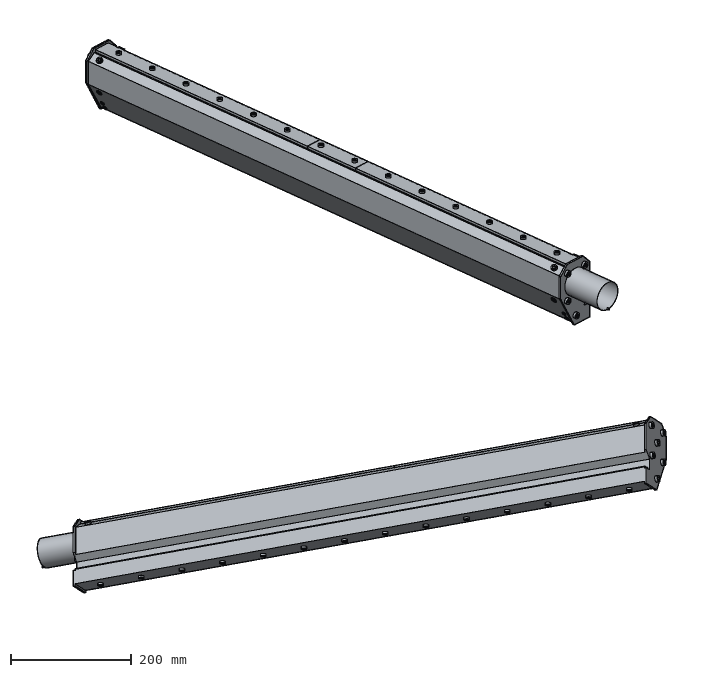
import cadquery as cq


total_length = 1155.0
end_head_height = 5.0
plate_thickness = 3.0
plates_length = 1074.0
plate_start = end_head_height
plate_end = plate_start + plates_length
beam_start = plate_start + plate_thickness
beam_end = plate_end - plate_thickness
beam_middle = (plate_start + plate_end) / 2

plate_half_width = 36.0
plate_height = 122.0
plate_top_half_width = 20.0
plate_shoulder_z = 105.0
plate_fold_z = 63.0
plate_base_front_y = -2.0
back_taper_z = 59.0
notch_wall_y = 23.0
notch_top_z = 46.0
plate_lip_z = 28.0

inset = 2.9
beam_half_width = plate_half_width - inset
beam_base_z = 3.0
beam_top_z = 114.0
beam_top_half_width = 18.0
beam_shoulder_z = 104.0
beam_fold_z = 60.0
beam_base_front_y = -1.7
beam_lip_z = 31.0
lip_chamfer = 2.0

lid_width = 31.0
lid_thickness = 5.0
lid_top_z = beam_top_z + lid_thickness
middle_lid_length = 109.0
lid_gap = 0.6

chamfer_head_height = 3.0
slope_head_height = 1.0
socket_ratio = 0.5
end_head_diameter = 11.0
row_head_diameter = 9.5
side_head_diameter = 10.5
small_head_diameter = 7.6
row_count = 14
row_pitch = 76.0
side_head_offset = 23.0
small_head_offset = 15.0
corner_head_y = 21.0
corner_head_z = 106.0
lower_head_z = 54.0
lower_back_head_y = 17.0
foot_head_z = 18.0
slope_head_z = 50.0
small_head_heights = (8.0, 20.0)

connector_diameter = 51.0
connector_z = 82.0
connector_end = 1151.0
key_pin_diameter = 3.0
key_pin_z = connector_z - connector_diameter / 2 + key_pin_diameter / 2

sink = 2.0


def prism(section, start, end):
    """Extrude a closed (Y, Z) section along X."""
    return cq.Workplane("YZ").workplane(offset=start).polyline(section).close().extrude(end - start)


def rod(diameter, y, z, start, end):
    """Cylinder along X."""
    return cq.Workplane("YZ").workplane(offset=start).center(y, z).circle(diameter / 2).extrude(end - start)


def screw_head(x, y, z, normal, diameter, height):
    """Round head standing on the surface point (x, y, z) along the outward normal."""
    direction = cq.Vector(*normal).normalized()
    base = cq.Vector(x, y, z) - direction * sink
    head = cq.Solid.makeCylinder(diameter / 2, height + sink, base, direction)
    socket_floor = base + direction * (sink + height / 2)
    socket = cq.Solid.makeCylinder(socket_ratio * diameter / 2, height, socket_floor, direction)
    return cq.Workplane(head).cut(cq.Workplane(socket))


def build_plate(start):
    section = [
        (plate_half_width, 0),
        (plate_half_width, plate_lip_z),
        (notch_wall_y, plate_lip_z),
        (notch_wall_y, notch_top_z),
        (plate_half_width, back_taper_z),
        (plate_half_width, plate_shoulder_z),
        (plate_top_half_width, plate_height),
        (-plate_top_half_width, plate_height),
        (-plate_half_width, plate_shoulder_z),
        (-plate_half_width, plate_fold_z),
        (plate_base_front_y, 0),
    ]
    return prism(section, start, start + plate_thickness)


def build_beam():
    section = [
        (plate_half_width, beam_base_z),
        (plate_half_width, beam_lip_z - lip_chamfer),
        (plate_half_width - lip_chamfer, beam_lip_z),
        (notch_wall_y, beam_lip_z),
        (notch_wall_y, notch_top_z),
        (beam_half_width, back_taper_z - inset),
        (beam_half_width, beam_shoulder_z),
        (beam_top_half_width, beam_top_z),
        (-beam_top_half_width, beam_top_z),
        (-beam_half_width, beam_shoulder_z),
        (-beam_half_width, beam_fold_z),
        (beam_base_front_y, beam_base_z),
    ]
    return prism(section, beam_start, beam_end)


def build_lid():
    half_width = lid_width / 2
    section = [
        (-half_width, beam_top_z - sink),
        (half_width, beam_top_z - sink),
        (half_width, lid_top_z),
        (-half_width, lid_top_z),
    ]
    lid = prism(section, beam_start, beam_end)
    for side in (-1, 1):
        seam_x = beam_middle + side * middle_lid_length / 2
        gap = cq.Workplane("XY").box(lid_gap, lid_width, lid_thickness, centered=(True, True, False))
        lid = lid.cut(gap.translate((seam_x, 0, beam_top_z)))
    return lid


def row_heads():
    """Rows of heads along the lid and along the base of the beam."""
    base_middle_y = (plate_half_width + beam_base_front_y) / 2
    heads = []
    for index in range(row_count):
        x = beam_middle + (index - (row_count - 1) / 2) * row_pitch
        heads.append(screw_head(x, 0, lid_top_z, (0, 0, 1), row_head_diameter, plate_height - lid_top_z))
        heads.append(screw_head(x, base_middle_y, beam_base_z, (0, 0, -1), row_head_diameter, beam_base_z))
    return heads


def side_heads():
    """Heads near both ends on the two top chamfers and on the front slope."""
    chamfer_y = (beam_top_half_width + beam_half_width) / 2
    chamfer_z = (beam_top_z + beam_shoulder_z) / 2
    chamfer_run = beam_half_width - beam_top_half_width
    chamfer_drop = beam_top_z - beam_shoulder_z

    slope_run = beam_base_front_y + beam_half_width
    slope_rise = beam_fold_z - beam_base_z
    slope_normal = (0, -slope_rise, -slope_run)

    def slope_y(z):
        return beam_base_front_y - (z - beam_base_z) * slope_run / slope_rise

    heads = []
    for x, inward in ((plate_start, 1), (plate_end, -1)):
        side_x = x + inward * side_head_offset
        small_x = x + inward * small_head_offset
        for side in (-1, 1):
            normal = (0, side * chamfer_drop, chamfer_run)
            heads.append(screw_head(side_x, side * chamfer_y, chamfer_z, normal, side_head_diameter,
                                    chamfer_head_height))
        heads.append(screw_head(side_x, slope_y(slope_head_z), slope_head_z, slope_normal,
                                side_head_diameter, slope_head_height))
        for z in small_head_heights:
            heads.append(screw_head(small_x, slope_y(z), z, slope_normal, small_head_diameter,
                                    slope_head_height))
    return heads


def end_heads():
    """Heads on the outer faces of both end plates."""
    shared_places = [
        (-corner_head_y, corner_head_z),
        (corner_head_y, corner_head_z),
        (-corner_head_y, lower_head_z),
        (lower_back_head_y, lower_head_z),
        (0, foot_head_z),
    ]
    heads = [screw_head(plate_start, 0, connector_z, (-1, 0, 0), end_head_diameter, end_head_height)]
    for y, z in shared_places:
        heads.append(screw_head(plate_start, y, z, (-1, 0, 0), end_head_diameter, end_head_height))
        heads.append(screw_head(plate_end, y, z, (1, 0, 0), end_head_diameter, end_head_height))
    return heads


def build_connector():
    barrel = rod(connector_diameter, 0, connector_z, plate_end - sink, connector_end)
    key_pin = rod(key_pin_diameter, 0, key_pin_z, connector_end - sink, total_length)
    return barrel.union(key_pin)


result = build_beam().union(build_lid())
for plate_x in (plate_start, beam_end):
    result = result.union(build_plate(plate_x))
result = result.union(build_connector())
for head in row_heads() + side_heads() + end_heads():
    result = result.union(head)